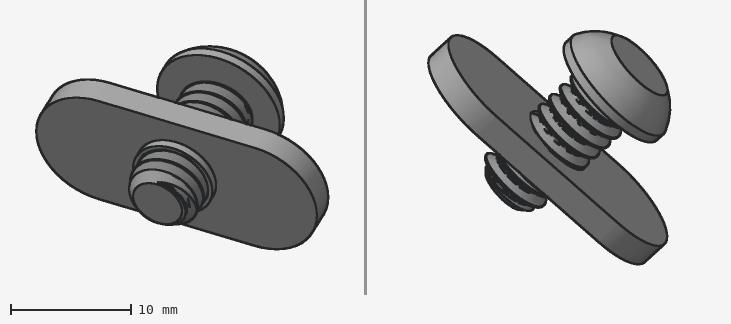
import cadquery as cq
import math

PLATE_LENGTH = 25.4
PLATE_WIDTH = 11.25
PLATE_THICKNESS = 2.4
BOSS_DIAMETER = 7.16
BOSS_HEIGHT = 0.8
HOLE_CLEARANCE = 0.013

HEAD_DIAMETER = 11.1
HEAD_HEIGHT = 3.35
HEAD_RIM_HEIGHT = 0.86
HEAD_TOP_DIAMETER = 6.5
DOME_BULGE = 0.28
SHANK_LENGTH = 12.7
TIP_DIAMETER = 4.42

THREAD_DIAMETER = 6.35
THREAD_PITCH = 1.27
THREAD_FLAT = THREAD_PITCH / 8
FLANK_HALF_ANGLE = 30.0
THREAD_RUNOUT = THREAD_PITCH
THREAD_PHASE = 252.0
FLANK_POINTS = 8

GRIP_LENGTH = 6.35

crest_radius = THREAD_DIAMETER / 2
flank_run = THREAD_PITCH / 2 - THREAD_FLAT
root_radius = crest_radius - flank_run / math.tan(math.radians(FLANK_HALF_ANGLE))


def lay_down(body):
    return body.rotate((0, 0, 0), (1, 0, 0), -90)


def make_head():
    rim_radius = HEAD_DIAMETER / 2
    top_radius = HEAD_TOP_DIAMETER / 2
    return (
        cq.Workplane("XZ")
        .lineTo(rim_radius, 0)
        .lineTo(rim_radius, HEAD_RIM_HEIGHT)
        .sagittaArc((top_radius, HEAD_HEIGHT), -DOME_BULGE)
        .lineTo(0, HEAD_HEIGHT)
        .close()
        .revolve(360, (0, 0), (0, 1))
    )


def make_thread_bar():
    """A threaded bar longer than the shank, made by twisting the thread's cross-section.

    Across the axis, the flats are arcs and the flanks are spirals from root to crest.
    """
    half_flat_angle = math.pi * THREAD_FLAT / THREAD_PITCH
    flank_angle = math.pi - 2 * half_flat_angle

    def flank_point(step):
        fraction = step / FLANK_POINTS
        radius = root_radius + fraction * (crest_radius - root_radius)
        angle = half_flat_angle + fraction * flank_angle
        return radius * math.cos(angle), radius * math.sin(angle)

    rising_flank = [flank_point(step) for step in range(FLANK_POINTS + 1)]
    falling_flank = [(x, -y) for x, y in reversed(rising_flank)]
    bar_length = SHANK_LENGTH + 2 * THREAD_RUNOUT
    return (
        cq.Workplane("XY")
        .moveTo(*falling_flank[-1])
        .threePointArc((root_radius, 0), rising_flank[0])
        .spline(rising_flank[1:], includeCurrent=True)
        .threePointArc((-crest_radius, 0), falling_flank[0])
        .spline(falling_flank[1:], includeCurrent=True)
        .close()
        .twistExtrude(bar_length, 360 * bar_length / THREAD_PITCH)
        .rotate((0, 0, 0), (0, 0, 1), THREAD_PHASE)
        .translate((0, 0, -SHANK_LENGTH - THREAD_RUNOUT))
    )


def make_shank():
    """Trims the threaded bar to the shank length with a 45 degree cone at the tip."""
    tip_radius = TIP_DIAMETER / 2
    blank_radius = HEAD_DIAMETER / 2
    blank = (
        cq.Workplane("XY")
        .circle(blank_radius)
        .extrude(-SHANK_LENGTH)
        .faces("<Z")
        .chamfer(blank_radius - tip_radius)
    )
    return blank.intersect(make_thread_bar())


def make_nut_plate():
    plate = (
        cq.Workplane("XY")
        .workplane(offset=-GRIP_LENGTH)
        .slot2D(PLATE_LENGTH, PLATE_WIDTH)
        .extrude(-PLATE_THICKNESS)
    )
    boss = (
        cq.Workplane("XY")
        .workplane(offset=-GRIP_LENGTH - PLATE_THICKNESS)
        .circle(BOSS_DIAMETER / 2)
        .extrude(-BOSS_HEIGHT)
    )
    hole = cq.Workplane("XY").circle(crest_radius + HOLE_CLEARANCE).extrude(-SHANK_LENGTH)
    return plate.union(boss).cut(hole)


screw = lay_down(make_head().union(make_shank()))
nut_plate = lay_down(make_nut_plate())

result = cq.Compound.makeCompound([nut_plate.solids().val(), screw.solids().val()])